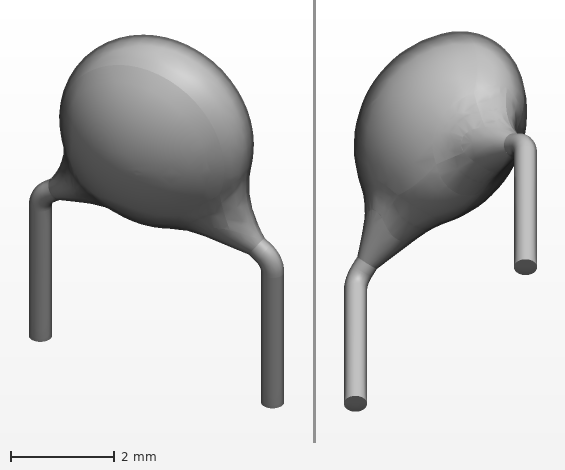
import cadquery as cq
import math

disc_radius = 2.0
disc_half_depth = 1.5
rim_half_depth = 0.6
dome_edge_radius = 1.8
overall_height = 7.47
disc_z = overall_height - disc_radius

lead_radius = 0.225
lead_x = 2.54
straight_length = 3.0
bend_radius = 0.46
bend_angle = 55.0
bend_exit = 0.19

neck_half_angle = 21.0
neck_length = 1.79
neck_blend = 2.0

bend = math.radians(bend_angle)
lead_direction = (math.sin(bend), math.cos(bend))
bend_centre_x = -lead_x + bend_radius


def bend_point(angle):
    """Point on the bend after the wire has turned through the angle."""
    return (
        bend_centre_x - bend_radius * math.cos(angle),
        straight_length + bend_radius * math.sin(angle),
    )


def along_lead(distance):
    """Point on the sloping wire, at a distance past the end of the bend."""
    x, z = bend_point(bend)
    return x + distance * lead_direction[0], z + distance * lead_direction[1]


def make_lead():
    """Left lead: a round wire that rises, bends inward and ends at the coating."""
    path = (
        cq.Workplane("XZ")
        .moveTo(-lead_x, 0)
        .lineTo(-lead_x, straight_length)
        .threePointArc(bend_point(bend / 2), bend_point(bend))
        .lineTo(*along_lead(bend_exit))
    )
    return cq.Workplane("XY").center(-lead_x, 0).circle(lead_radius).sweep(path)


def arc_height(radius, near_axis, far_axis):
    """Depth, at a radius, of the arc that leaves the axis at right angles and ends at far_axis."""
    rise = near_axis[1] - far_axis[1]
    arc_radius = (far_axis[0] ** 2 + rise**2) / (2 * rise)
    return near_axis[1] - arc_radius + math.sqrt(arc_radius**2 - radius**2)


def make_disc():
    """Lens with a rounded rim, turned about the Y direction."""
    pole = (0, disc_half_depth)
    edge = (dome_edge_radius, rim_half_depth)
    dome_radius = dome_edge_radius / 2
    dome_depth = arc_height(dome_radius, pole, edge)
    profile = (
        cq.Workplane("XY")
        .moveTo(0, -disc_half_depth)
        .threePointArc((dome_radius, -dome_depth), (edge[0], -edge[1]))
        .threePointArc((disc_radius, 0), edge)
        .threePointArc((dome_radius, dome_depth), pole)
        .close()
    )
    return profile.revolve(360, (0, 0, 0), (0, 1, 0)).translate((0, 0, disc_z))


def make_neck():
    """Left cone that widens from the wire into the disc."""
    x, z = along_lead(bend_exit)
    end_radius = lead_radius + neck_length * math.tan(math.radians(neck_half_angle))
    return cq.Workplane(
        cq.Solid.makeCone(
            lead_radius,
            end_radius,
            neck_length,
            cq.Vector(x, 0, z),
            cq.Vector(lead_direction[0], 0, lead_direction[1]),
        )
    )


left_lead = make_lead()
leads = [left_lead, left_lead.mirror("YZ")]

disc = make_disc()
left_neck = make_neck()
coating = disc.union(left_neck).union(left_neck.mirror("YZ"))
coating = coating.faces("%CONE").edges("%BSPLINE").fillet(neck_blend)

result = cq.Compound.makeCompound([coating.val(), *[lead.val() for lead in leads]])